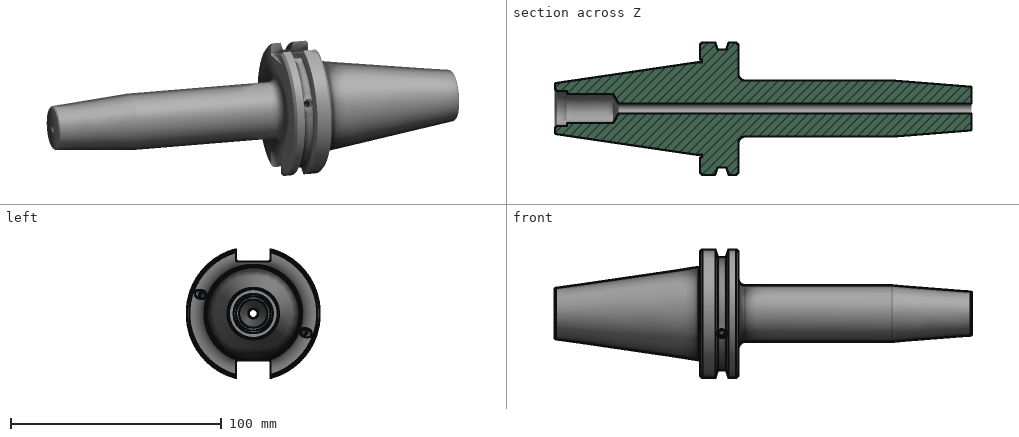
import cadquery as cq
import math

total_length = 198.2
taper_length = 68.4
flange_start = 69.0
flange_end = 87.5
groove_x = 79.5
nose_start = 160.2

taper_large_radius = 22.2
taper_ratio = 7 / 24
taper_small_radius = taper_large_radius - taper_ratio * taper_length / 2
end_chamfer = 0.5
relief_radius = 23.2
neck_diameter = 43.8
neck_radius = neck_diameter / 2
relief_depth = 1.0

flange_diameter = 63.2
flange_radius = flange_diameter / 2
flange_chamfer = 1.2
groove_floor_radius = 28.2
groove_floor_width = 4.0
groove_top_width = 6.3

shank_radius = 13.5
shank_fillet = 3.0
nose_end_radius = 10.5

slot_width = 16.3
upper_slot_floor = 24.8
lower_slot_floor = 22.2
dimple_diameter = 9.5
dimple_depth = 2.8
slot_fillet = 0.8

bore_mouth_radius = 9.3
bore_radius = 8.1
thread_radius = 6.7
bore_depth = 5.7
thread_depth = 27.8
thread_cone_length = 4.0
through_diameter = 4.4

inlet_diameter = 4.2
inlet_depth = 2.0
coolant_tilt = 39.0
port_diameter = 4.4
port_depth = 2.0
core_diameter = 3.2
coolant_circle_radius = 26.8
coolant_angle = 20.0


def make_body():
    """Revolved outer shape of the holder, without the groove."""
    fillet_x = flange_end + shank_fillet
    fillet_radius_at_flange = shank_radius + shank_fillet
    arc_offset = shank_fillet * (1 - math.sqrt(0.5))
    profile = (
        cq.Workplane("XY")
        .moveTo(0, 0)
        .lineTo(0, taper_small_radius - end_chamfer)
        .lineTo(end_chamfer, taper_small_radius)
        .lineTo(taper_length, taper_large_radius)
        .lineTo(taper_length, neck_radius)
        .lineTo(flange_start, neck_radius)
        .lineTo(flange_start, flange_radius - flange_chamfer)
        .lineTo(flange_start + flange_chamfer, flange_radius)
        .lineTo(flange_end - flange_chamfer, flange_radius)
        .lineTo(flange_end, flange_radius - flange_chamfer)
        .lineTo(flange_end, fillet_radius_at_flange)
        .threePointArc((flange_end + arc_offset, shank_radius + arc_offset), (fillet_x, shank_radius))
        .lineTo(nose_start, shank_radius)
        .lineTo(total_length - end_chamfer, nose_end_radius)
        .lineTo(total_length, nose_end_radius - end_chamfer)
        .lineTo(total_length, 0)
        .close()
    )
    return profile.revolve(360, (0, 0, 0), (1, 0, 0))


def revolved_cut(points):
    """Solid of revolution about X from (x, radius) points."""
    return cq.Workplane("XY").polyline(points).close().revolve(360, (0, 0, 0), (1, 0, 0))


def make_groove():
    return revolved_cut([
        (groove_x - groove_floor_width / 2, groove_floor_radius),
        (groove_x - groove_top_width / 2, flange_radius),
        (groove_x + groove_top_width / 2, flange_radius),
        (groove_x + groove_floor_width / 2, groove_floor_radius),
    ])


def make_face_relief():
    """Shallow ring recess around the taper in the rear flange face."""
    return revolved_cut([
        (flange_start, neck_radius),
        (flange_start, relief_radius),
        (flange_start + relief_depth, relief_radius),
        (flange_start + relief_depth, neck_radius),
    ])


def make_bore():
    """Stepped rear bore with a conical bottom, opening into the through hole."""
    mouth_chamfer = bore_mouth_radius - bore_radius
    return revolved_cut([
        (0, 0),
        (0, bore_mouth_radius),
        (mouth_chamfer, bore_radius),
        (bore_depth, bore_radius),
        (bore_depth, thread_radius),
        (thread_depth, thread_radius),
        (thread_depth + thread_cone_length, 0),
    ])


def make_slot(floor, side):
    """Drive slot across the flange; side is +1 for the top, -1 for the bottom."""
    height = flange_radius - floor
    center = ((flange_start + flange_end) / 2, 0, side * (floor + height / 2))
    block = cq.Workplane("XY").box(flange_end - flange_start, slot_width, height)
    floor_edges = "<Z and |X" if side > 0 else ">Z and |X"
    return block.edges(floor_edges).fillet(slot_fillet).translate(center)


def make_dimple():
    return cq.Workplane(
        cq.Solid.makeCone(
            dimple_diameter / 2, 0, dimple_depth,
            cq.Vector(groove_x, 0, upper_slot_floor), cq.Vector(0, 0, -1),
        )
    )


def make_coolant_passage(angle):
    """Cutters for an inward-leaning inlet in the rear flange face meeting a radial port in the groove."""
    along_x = cq.Vector(1, 0, 0)
    outward = cq.Vector(0, math.cos(math.radians(angle)), math.sin(math.radians(angle)))
    tilt = math.radians(coolant_tilt)
    inlet_direction = along_x * math.cos(tilt) - outward * math.sin(tilt)
    inlet_length = (groove_x - flange_start) / math.cos(tilt)
    meeting_radius = coolant_circle_radius - inlet_length * math.sin(tilt)
    overrun = inlet_diameter / 2 * math.tan(tilt)

    mouth = along_x * flange_start + outward * coolant_circle_radius
    inlet = cq.Solid.makeCylinder(
        inlet_diameter / 2, inlet_depth + overrun, mouth - inlet_direction * overrun, inlet_direction
    )
    inlet_core = cq.Solid.makeCylinder(core_diameter / 2, inlet_length, mouth, inlet_direction)
    port_core = cq.Solid.makeCylinder(
        core_diameter / 2, flange_radius - meeting_radius,
        along_x * groove_x + outward * meeting_radius, outward,
    )
    port_bottom = groove_floor_radius - port_depth
    port = cq.Solid.makeCylinder(
        port_diameter / 2, flange_radius - port_bottom,
        along_x * groove_x + outward * port_bottom, outward,
    )
    return [inlet, inlet_core, port_core, port]


through_hole = cq.Workplane("YZ").circle(through_diameter / 2).extrude(total_length)

result = make_body().cut(make_groove()).cut(make_face_relief())
result = result.cut(make_bore()).cut(through_hole)
result = result.cut(make_slot(upper_slot_floor, 1)).cut(make_slot(lower_slot_floor, -1))
result = result.cut(make_dimple())
for passage_angle in (coolant_angle, coolant_angle + 180):
    for cutter in make_coolant_passage(passage_angle):
        result = result.cut(cq.Workplane(cutter))